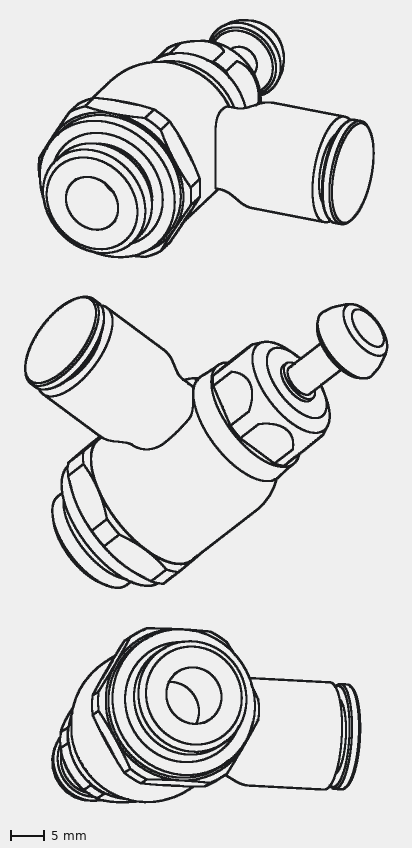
import cadquery as cq
import math


THREAD_R = 8.4
THREAD_ROOT_R = 7.45
THREAD_CHAMFER_H = 0.8
THREAD_TOP_Y = 3.15
RELIEF_START_Y = 4.05
BORE_R = 4.3

FLANGE_Y = 5.5
SEAL_R = 9.1
SEAL_SECTION_R = (SEAL_R - THREAD_ROOT_R) / 2
FLANGE_R = 11.1

HEX_Y = 7.7
HEX_H = 4.45
HEX_FLATS = 23.0
HEX_CORNER_R = 12.5
HEX_CHAMFER_R = HEX_FLATS / 2
HEX_CHAMFER_H = 0.6
HEX_TOP_Y = HEX_Y + HEX_H

BODY_R = 22.8 / 2
SHOULDER_Y = 25.7
SHOULDER_ARC_R = 7.75
SHOULDER_ARC_H = 4.9
COLLAR_BASE_R = 9.5
COLLAR_BASE_Y = 32.05
COLLAR_R = 9.3
COLLAR_TOP_Y = 35.6
COLLAR_SAG = 0.05

NECK_R = 7.85
NUT_Y = 35.95
NUT_TOP_Y = 44.35
NUT_FLATS = 17.15
NUT_CORNER_R = 9.3
NUT_CORNER_Y = 39.9
NUT_SHOULDER_R = 8.1
NUT_SHOULDER_Y = 43.15
NUT_ROUND_SAG = 0.05
NUT_TOP_R = 6.25

STEM_R = 5.0 / 2
STEM_COLLAR_R = 3.3
STEM_COLLAR_H = 0.6
KNOB_Y = 54.05
KNOB_BASE_R = 5.1
KNOB_EDGE_R = 5.55
KNOB_EDGE_Y = 54.3
KNOB_R = 6.0
KNOB_RIM_Y = 54.95
KNOB_SIDE_SAG = 0.3
KNOB_SHOULDER_R = 4.6
KNOB_SHOULDER_Y = 59.0
KNOB_TOP_R = 3.35
TOP_Y = 59.55

BRANCH_Y = SHOULDER_Y
BRANCH_NECK_R = 6.2
BRANCH_R = 8.05
BRANCH_ANGLE = math.radians(24)
BRANCH_FLARE_X = 10.6
BRANCH_FULL_X = 16.4
BRANCH_CONCAVE_R = 5.4
BRANCH_CONVEX_R = 3.5
BRANCH_END_X = 28.1
RELEASE_NECK_R = 5.65
RELEASE_RING_R = 7.85
RELEASE_RING_X = 29.4
RELEASE_RING_END_X = 31.1
RELEASE_RING_CHAMFER = 0.3


def revolve_about_y(profile):
    """Turn a closed (radius, Y) outline about the Y axis."""
    return profile.close().revolve(360, (0, 0, 0), (0, 1, 0))


def outline_from(radius, y):
    """Start a (radius, Y) outline on the axis and run out to the given radius."""
    return cq.Workplane("XY").moveTo(0, y).lineTo(radius, y)


def cut_to_hexagon(turned, flats, y_start, y_end):
    """Trim a turned blank to a hexagon with two flats facing +Z and -Z."""
    prism = (
        cq.Workplane("XZ", origin=(0, y_start, 0))
        .polygon(6, flats / math.cos(math.pi / 6))
        .extrude(y_start - y_end)
    )
    return turned.intersect(prism)


def threaded_port():
    profile = (
        outline_from(THREAD_ROOT_R, 0)
        .lineTo(THREAD_R, THREAD_CHAMFER_H)
        .lineTo(THREAD_R, THREAD_TOP_Y)
        .lineTo(THREAD_ROOT_R, RELIEF_START_Y)
        .lineTo(THREAD_ROOT_R, FLANGE_Y)
        .threePointArc((SEAL_R - SEAL_SECTION_R, FLANGE_Y - SEAL_SECTION_R), (SEAL_R, FLANGE_Y))
        .lineTo(FLANGE_R, FLANGE_Y)
        .lineTo(FLANGE_R, HEX_Y)
        .lineTo(0, HEX_Y)
    )
    return revolve_about_y(profile)


def lower_hexagon():
    blank = revolve_about_y(
        outline_from(HEX_CHAMFER_R, HEX_Y)
        .lineTo(HEX_CORNER_R, HEX_Y + HEX_CHAMFER_H)
        .lineTo(HEX_CORNER_R, HEX_TOP_Y - HEX_CHAMFER_H)
        .lineTo(HEX_CHAMFER_R, HEX_TOP_Y)
        .lineTo(0, HEX_TOP_Y)
    )
    return cut_to_hexagon(blank, HEX_FLATS, HEX_Y, HEX_TOP_Y)


def body():
    shoulder_slope = math.asin(SHOULDER_ARC_H / SHOULDER_ARC_R)
    shoulder_end_r = BODY_R - SHOULDER_ARC_R * (1 - math.cos(shoulder_slope))
    profile = (
        outline_from(BODY_R, HEX_TOP_Y)
        .lineTo(BODY_R, SHOULDER_Y)
        .radiusArc((shoulder_end_r, SHOULDER_Y + SHOULDER_ARC_H), -SHOULDER_ARC_R)
        .tangentArcPoint((COLLAR_BASE_R, COLLAR_BASE_Y), relative=False)
        .sagittaArc((COLLAR_R, COLLAR_TOP_Y), COLLAR_SAG)
        .lineTo(NECK_R, COLLAR_TOP_Y)
        .lineTo(NECK_R, NUT_Y)
        .lineTo(0, NUT_Y)
    )
    return revolve_about_y(profile)


def upper_nut():
    blank = revolve_about_y(
        outline_from(NUT_CORNER_R, NUT_Y)
        .lineTo(NUT_CORNER_R, NUT_CORNER_Y)
        .sagittaArc((NUT_SHOULDER_R, NUT_SHOULDER_Y), -NUT_ROUND_SAG)
        .lineTo(NUT_TOP_R, NUT_TOP_Y)
        .lineTo(0, NUT_TOP_Y)
    )
    return cut_to_hexagon(blank, NUT_FLATS, NUT_Y, NUT_TOP_Y)


def stem_and_knob():
    profile = (
        outline_from(STEM_COLLAR_R, NUT_TOP_Y)
        .lineTo(STEM_COLLAR_R, NUT_TOP_Y + STEM_COLLAR_H)
        .lineTo(STEM_R, NUT_TOP_Y + STEM_COLLAR_H)
        .lineTo(STEM_R, KNOB_Y)
        .lineTo(KNOB_BASE_R, KNOB_Y)
        .lineTo(KNOB_EDGE_R, KNOB_EDGE_Y)
        .lineTo(KNOB_R, KNOB_RIM_Y)
        .sagittaArc((KNOB_SHOULDER_R, KNOB_SHOULDER_Y), -KNOB_SIDE_SAG)
        .lineTo(KNOB_TOP_R, TOP_Y)
        .lineTo(0, TOP_Y)
    )
    return revolve_about_y(profile)


def tube_branch():
    """Flared branch with its release ring, turned about its own axis along X."""
    sine = math.sin(BRANCH_ANGLE)
    rise = 1 - math.cos(BRANCH_ANGLE)
    cone_start = (BRANCH_FLARE_X + BRANCH_CONCAVE_R * sine, BRANCH_NECK_R + BRANCH_CONCAVE_R * rise)
    cone_end = (BRANCH_FULL_X - BRANCH_CONVEX_R * sine, BRANCH_R - BRANCH_CONVEX_R * rise)
    return (
        cq.Workplane("XY", origin=(0, BRANCH_Y, 0))
        .lineTo(0, BRANCH_NECK_R)
        .lineTo(BRANCH_FLARE_X, BRANCH_NECK_R)
        .radiusArc(cone_start, -BRANCH_CONCAVE_R)
        .lineTo(*cone_end)
        .radiusArc((BRANCH_FULL_X, BRANCH_R), BRANCH_CONVEX_R)
        .lineTo(BRANCH_END_X, BRANCH_R)
        .lineTo(BRANCH_END_X, RELEASE_NECK_R)
        .lineTo(RELEASE_RING_X, RELEASE_NECK_R)
        .lineTo(RELEASE_RING_X, RELEASE_RING_R - RELEASE_RING_CHAMFER)
        .lineTo(RELEASE_RING_X + RELEASE_RING_CHAMFER, RELEASE_RING_R)
        .lineTo(RELEASE_RING_END_X - RELEASE_RING_CHAMFER, RELEASE_RING_R)
        .lineTo(RELEASE_RING_END_X, RELEASE_RING_R - RELEASE_RING_CHAMFER)
        .lineTo(RELEASE_RING_END_X, 0)
        .close()
        .revolve(360, (0, 0, 0), (1, 0, 0))
    )


def port_bore():
    """Blind bore from the threaded end to the top of the lower hexagon."""
    return cq.Workplane("XZ").circle(BORE_R).extrude(-HEX_TOP_Y)


result = (
    threaded_port()
    .union(lower_hexagon())
    .union(body())
    .union(upper_nut())
    .union(stem_and_knob())
    .union(tube_branch())
    .cut(port_bore())
)